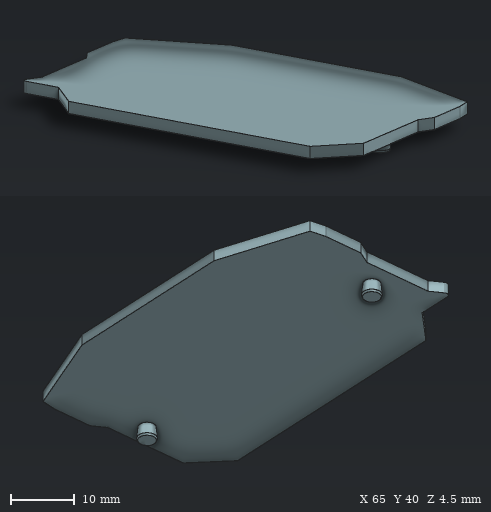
import cadquery as cq
import math

length = 65.0
width = 40.0
thickness = 2.0
half_length = length / 2
half_width = width / 2

top_edge_half = 15.85
shoulder_x = 32.05
shoulder_y = 14.1
shoulder_end_y = 11.25

recess_x = 31.1
flank_angle = math.radians(60)
flank_start_y = 4.0
recess_top_y = flank_start_y - (half_length - recess_x) * math.tan(flank_angle)

right_chamfer = 6.05
ledge_y = -14.4
bottom_left_x = -20.15
ledge_end_x = bottom_left_x - (ledge_y + half_width)

tip_radius = 0.7
tip_x = -half_length + tip_radius
tip_y = ledge_y + tip_radius
tip_start = (tip_x, ledge_y)
tip_mid = (-half_length, tip_y)
tip_end = (
    tip_x - tip_radius * math.sin(flank_angle),
    tip_y + tip_radius * math.cos(flank_angle),
)
hook_top_y = tip_end[1] + (-recess_x - tip_end[0]) * math.tan(flank_angle)

peg_x = 27.0
peg_y = -3.0
peg_height = 2.5
peg_root_radius = 1.4
peg_rim_radius = 1.6
peg_end_radius = 1.5
peg_rim_height = 0.4


def make_plate():
    return (
        cq.Workplane("XY")
        .moveTo(-top_edge_half, half_width)
        .lineTo(top_edge_half, half_width)
        .lineTo(shoulder_x, shoulder_y)
        .lineTo(half_length, shoulder_end_y)
        .lineTo(half_length, flank_start_y)
        .lineTo(recess_x, recess_top_y)
        .lineTo(recess_x, -half_width + right_chamfer)
        .lineTo(recess_x - right_chamfer, -half_width)
        .lineTo(bottom_left_x, -half_width)
        .lineTo(ledge_end_x, ledge_y)
        .lineTo(*tip_start)
        .threePointArc(tip_mid, tip_end)
        .lineTo(-recess_x, hook_top_y)
        .lineTo(-recess_x, recess_top_y)
        .lineTo(-half_length, flank_start_y)
        .lineTo(-half_length, shoulder_end_y)
        .lineTo(-shoulder_x, shoulder_y)
        .close()
        .extrude(thickness)
    )


def make_peg(x):
    """Revolved peg whose root overlaps the plate so that the two fuse."""
    profile = (
        cq.Workplane("XZ")
        .moveTo(0, thickness / 2)
        .lineTo(peg_root_radius, thickness / 2)
        .lineTo(peg_root_radius, 0)
        .lineTo(peg_rim_radius, peg_rim_height - peg_height)
        .lineTo(peg_end_radius, -peg_height)
        .lineTo(0, -peg_height)
        .close()
    )
    return profile.revolve(360, (0, 0), (0, 1)).translate((x, peg_y, 0))


result = make_plate()
for side in (-1, 1):
    result = result.union(make_peg(side * peg_x))